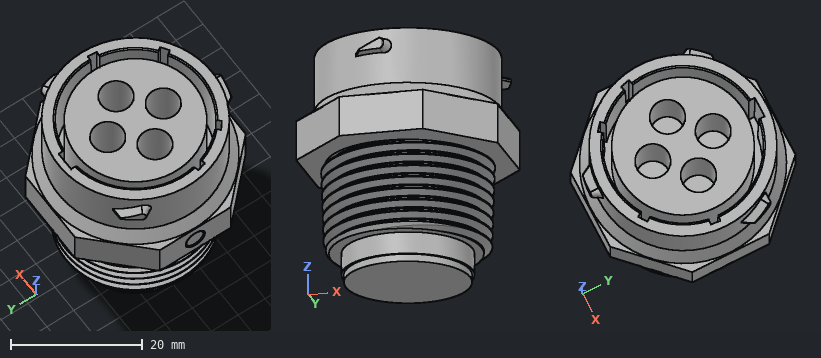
import cadquery as cq
import math

top_z = 36.05
shell_base_z = 27.23
nut_top_z = 25.15
nut_bottom_z = 18.85
thread_bottom_z = 4.58
tail_step_z = 1.15

nut_width = 31.75
nut_sides = 8
shell_radius = 14.28
shoulder_radius = 15.75
spigot_radius = 10.15
tail_radius = 9.77

full_turns = 7
full_turns_length = 12.7
pitch = full_turns_length / full_turns
thread_depth = 1.25
crest_flat = 0.18
root_flat = 0.18
crest_radius_bottom = 12.85
taper = 1 / 32
thread_start_angle = 147.0
root_overlap = 0.1
lead_in_radius = 12.05

bore_radius = 12.22
bore_draft_angle = 0.7
bore_mouth_radius = 12.5
bore_mouth_depth = 0.1
cavity_floor_z = nut_top_z
insert_radius = 10.85
insert_top_z = top_z - 0.47
contact_hole_radius = 2.7
contact_pitch_radius = 5.15
contact_count = 4

keyway_radius = 13.13
main_key_width = 3.28
minor_key_width = 1.6
main_key_angle = 90
minor_key_angles = (195, 230, 305, 355)

lug_angles = (30, 150, 270)
lug_built_angle = 270
lug_z = 33.25
lug_outer_radius = 15.72
lug_root_distance = 13.5
lug_root = ((-4.65, -1.0), (-4.65, -0.6), (-0.32, 1.1), (1.6, 0), (-0.32, -1.1))
lug_crown = ((-3.4, -0.8), (-3.4, -0.47), (-0.32, 0.95), (0.3, 0), (-0.32, -0.8))

mark_radius = 1.8
mark_floor_radius = 1.55
mark_depth = 0.1


def cylinder(radius, bottom_z, cylinder_top_z):
    height = cylinder_top_z - bottom_z
    return cq.Workplane("XY").workplane(offset=bottom_z).circle(radius).extrude(height)


def cone(bottom_radius, top_radius, bottom_z, cone_top_z):
    height = cone_top_z - bottom_z
    solid = cq.Solid.makeCone(bottom_radius, top_radius, height, cq.Vector(0, 0, bottom_z))
    return cq.Workplane(solid)


def make_body():
    nut_blank = (
        cq.Workplane("XY")
        .workplane(offset=nut_bottom_z)
        .polygon(nut_sides, nut_width, circumscribed=True)
        .extrude(nut_top_z - nut_bottom_z)
    )
    return (
        nut_blank
        .union(cone(shoulder_radius, shell_radius, nut_top_z, shell_base_z))
        .union(cylinder(shell_radius, shell_base_z, top_z))
        .union(cylinder(spigot_radius, tail_step_z, nut_bottom_z))
        .union(cylinder(tail_radius, 0, tail_step_z))
    )


def make_thread():
    length = nut_bottom_z - thread_bottom_z
    root_radius = crest_radius_bottom - thread_depth
    core = cone(root_radius, root_radius + taper * length, thread_bottom_z, nut_bottom_z)

    helix_height = length + pitch
    taper_angle = math.degrees(math.atan(taper))
    path = cq.Wire.makeHelix(pitch, helix_height, root_radius, angle=taper_angle)
    half_root = (pitch - root_flat) / 2
    half_crest = crest_flat / 2
    ridge = (
        cq.Workplane("XZ")
        .polyline([
            (root_radius - root_overlap, -half_root),
            (root_radius, -half_root),
            (crest_radius_bottom, -half_crest),
            (crest_radius_bottom, half_crest),
            (root_radius, half_root),
            (root_radius - root_overlap, half_root),
        ])
        .close()
        .sweep(cq.Workplane(path), isFrenet=True)
        .rotate((0, 0, 0), (0, 0, 1), thread_start_angle)
        .translate((0, 0, thread_bottom_z))
    )
    envelope = cone(lead_in_radius, lead_in_radius + length, thread_bottom_z, nut_bottom_z)
    return core.union(ridge.intersect(envelope))


def keyway(angle, width):
    slot = (
        cq.Workplane("XY")
        .workplane(offset=top_z)
        .center(keyway_radius / 2, 0)
        .rect(keyway_radius, width)
        .extrude(cavity_floor_z - top_z, taper=bore_draft_angle)
    )
    return slot.rotate((0, 0, 0), (0, 0, 1), angle)


def make_cavity():
    floor_radius = bore_radius - (top_z - cavity_floor_z) * math.tan(math.radians(bore_draft_angle))
    cavity = cone(floor_radius, bore_radius, cavity_floor_z, top_z)
    cavity = cavity.union(cone(bore_radius, bore_mouth_radius, top_z - bore_mouth_depth, top_z))
    cavity = cavity.union(keyway(main_key_angle, main_key_width))
    for angle in minor_key_angles:
        cavity = cavity.union(keyway(angle, minor_key_width))
    insert = cylinder(insert_radius, cavity_floor_z, insert_top_z)
    contact_holes = (
        cq.Workplane("XY")
        .workplane(offset=cavity_floor_z)
        .polarArray(contact_pitch_radius, 0, 360, contact_count)
        .circle(contact_hole_radius)
        .extrude(top_z - cavity_floor_z)
    )
    return cavity.cut(insert.cut(contact_holes))


def lug_outline(workplane, points):
    tip_low, tip_high, round_top, round_middle, round_bottom = points
    return (
        workplane
        .moveTo(*tip_low)
        .lineTo(*tip_high)
        .lineTo(*round_top)
        .threePointArc(round_middle, round_bottom)
        .close()
    )


def make_lug(angle):
    crown_rise = lug_outer_radius - lug_root_distance
    root_plane = cq.Workplane("XZ", origin=(0, -lug_root_distance, lug_z))
    root = lug_outline(root_plane, lug_root)
    lug = lug_outline(root.workplane(offset=crown_rise), lug_crown).loft(ruled=True)
    lug = lug.intersect(cylinder(lug_outer_radius, nut_top_z, top_z))
    return lug.rotate((0, 0, 0), (0, 0, 1), angle - lug_built_angle)


def make_mark():
    mid_z = (nut_top_z + nut_bottom_z) / 2
    solid = cq.Solid.makeCone(
        mark_radius, mark_floor_radius, mark_depth,
        cq.Vector(-nut_width / 2, 0, mid_z), cq.Vector(1, 0, 0),
    )
    return cq.Workplane(solid)


result = make_body().union(make_thread())
for lug_angle in lug_angles:
    result = result.union(make_lug(lug_angle))
result = result.cut(make_cavity()).cut(make_mark()).solids()